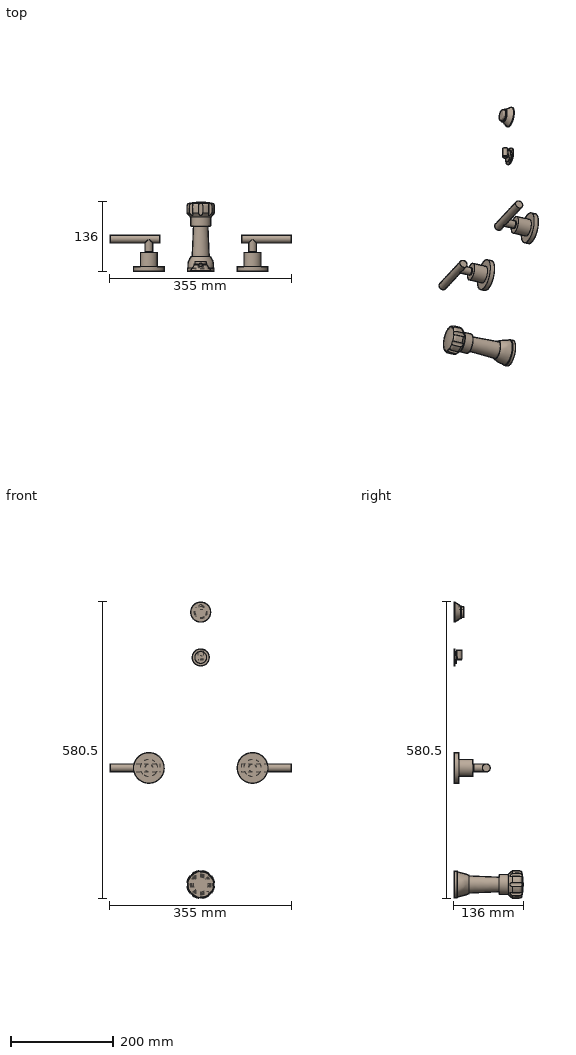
import cadquery as cq
import math


ALONG_Y = cq.Vector(0, 1, 0)

OVERALL_HEIGHT = 580.5
HANDLE_X = 101.5
HOLDER_Z = 305.5
HOOK_Z = 216.5

HANDLE_FLANGE_RADIUS = 30.0
HANDLE_FLANGE_THICKNESS = 9.0
HANDLE_COLLAR_RADIUS = 17.0
HANDLE_COLLAR_TOP = 37.0
HANDLE_GROOVE_WIDTH = 2.0
HANDLE_GROOVE_DEPTH = 0.5
LEVER_DIAMETER = 15.5
LEVER_RADIUS = LEVER_DIAMETER / 2
LEVER_HEIGHT = 63.0
LEVER_INNER_REACH = 21.5
LEVER_OUTER_REACH = 76.0

HOLDER_RADIUS = 20.0
HOLDER_RIM = 2.0
HOLDER_CONE_TOP = 12.0
HOLDER_CONE_TOP_RADIUS = 13.0
HOLDER_STEP_TOP = 14.5
HOLDER_COLLAR_RADIUS = 11.0
HOLDER_COLLAR_TOP = 19.0
HOLDER_COLLAR_FILLET = 1.0
SET_SCREW_RADIUS = 3.5
SET_SCREW_Y = 13.0
SET_SCREW_DEPTH = 6.0

HOOK_RADIUS = 17.0
HOOK_RIM = 2.0
HOOK_BOSS_RADIUS = 11.5
HOOK_BOSS_TOP = 4.5
PEG_RADIUS = 5.0
PEG_Y = 10.5
PEG_BOTTOM = -4.5
PEG_TOP = 14.5
PEG_CHAMFER = 1.0
PEG_NECK_RADIUS = 3.5

FOOT_RADIUS = 26.0
FOOT_RIM = 7.0
FOOT_RIM_ROUND = 1.0
FOOT_SHOULDER_RADIUS = FOOT_RADIUS - FOOT_RIM_ROUND
FOOT_MIDDLE_Y = 18.5
FOOT_MIDDLE_HALF_WIDTH = 24.5
FOOT_MIDDLE_HALF_HEIGHT = 22.0
FOOT_TOP = 29.0
FOOT_TOP_RADIUS = 18.5
STEM_RING_TOP = 33.0
STEM_LOW_RADIUS = 17.0
STEM_HIGH_RADIUS = 14.5
COLLAR_BOTTOM = 88.0
COLLAR_TOP = 106.0
COLLAR_RADIUS = 20.0
COLLAR_ROUND = 2.0
HEAD_NECK_RADIUS = 20.5
HEAD_RADIUS = 27.0
HEAD_SHOULDER_Y = 114.5
HEAD_ROUND_Y = 128.0
HEAD_FACE_Y = 133.0
HEAD_FACE_RADIUS = 24.5
HEAD_DOME_TOP = 136.0
FLUTE_COUNT = 8
FLUTE_RADIUS = 4.0

HEAD_LOWEST = HEAD_RADIUS - FLUTE_RADIUS**2 / (2 * HEAD_RADIUS)
BODY_SPRAY_Z = HOLDER_Z + HOLDER_RADIUS - OVERALL_HEIGHT + HEAD_LOWEST


def disc(radius, y_start, y_end):
    """Cylinder along +Y, centred on the Y axis."""
    start = cq.Vector(0, y_start, 0)
    return cq.Workplane(cq.Solid.makeCylinder(radius, y_end - y_start, start, ALONG_Y))


def post(radius, y, z_start, z_end):
    """Cylinder along +Z, centred at X = 0."""
    return cq.Workplane(cq.Solid.makeCylinder(radius, z_end - z_start, cq.Vector(0, y, z_start)))


def cone(radius_start, radius_end, y_start, y_end):
    """Truncated cone along +Y, centred on the Y axis."""
    start = cq.Vector(0, y_start, 0)
    return cq.Workplane(cq.Solid.makeCone(radius_start, radius_end, y_end - y_start, start, ALONG_Y))


def make_handle(side):
    """Flange, collar and grooved neck with a lever that points to +X (side = 1) or -X (side = -1)."""
    handle = disc(HANDLE_FLANGE_RADIUS, 0, HANDLE_FLANGE_THICKNESS)
    handle = handle.union(disc(HANDLE_COLLAR_RADIUS, 0, HANDLE_COLLAR_TOP))
    groove_top = HANDLE_COLLAR_TOP + HANDLE_GROOVE_WIDTH
    handle = handle.union(disc(LEVER_RADIUS - HANDLE_GROOVE_DEPTH, 0, groove_top))
    handle = handle.union(disc(LEVER_RADIUS, groove_top, LEVER_HEIGHT))
    lever = cq.Solid.makeCylinder(
        LEVER_RADIUS,
        LEVER_INNER_REACH + LEVER_OUTER_REACH,
        cq.Vector(-side * LEVER_INNER_REACH, LEVER_HEIGHT, 0),
        cq.Vector(side, 0, 0),
    )
    return handle.union(cq.Workplane(lever)).translate((side * HANDLE_X, 0, 0))


def make_holder():
    """Wall rosette with a blind set-screw hole in the top of its collar."""
    collar = disc(HOLDER_COLLAR_RADIUS, 0, HOLDER_COLLAR_TOP).faces(">Y").edges().fillet(HOLDER_COLLAR_FILLET)
    holder = disc(HOLDER_RADIUS, 0, HOLDER_RIM)
    holder = holder.union(cone(HOLDER_RADIUS, HOLDER_CONE_TOP_RADIUS, HOLDER_RIM, HOLDER_CONE_TOP))
    holder = holder.union(disc(HOLDER_CONE_TOP_RADIUS, HOLDER_CONE_TOP, HOLDER_STEP_TOP))
    holder = holder.union(collar)
    set_screw_hole = post(
        SET_SCREW_RADIUS, SET_SCREW_Y, HOLDER_COLLAR_RADIUS - SET_SCREW_DEPTH, HOLDER_RADIUS
    )
    return holder.cut(set_screw_hole).translate((0, 0, HOLDER_Z))


def make_hook():
    """Wall disc and boss, with an upright peg on a short neck."""
    peg = post(PEG_RADIUS, PEG_Y, PEG_BOTTOM, PEG_TOP).faces("<Z").edges().chamfer(PEG_CHAMFER)
    hook = disc(HOOK_RADIUS, 0, HOOK_RIM)
    hook = hook.union(disc(HOOK_BOSS_RADIUS, 0, HOOK_BOSS_TOP))
    hook = hook.union(disc(PEG_NECK_RADIUS, 0, PEG_Y))
    return hook.union(peg).translate((0, 0, HOOK_Z))


def make_foot():
    """Round rim, then a flare that is wider across X than across Z halfway up."""
    flare = (
        cq.Workplane("XZ", origin=(0, FOOT_RIM, 0))
        .ellipse(FOOT_SHOULDER_RADIUS, FOOT_SHOULDER_RADIUS)
        .workplane(offset=FOOT_RIM - FOOT_MIDDLE_Y)
        .ellipse(FOOT_MIDDLE_HALF_WIDTH, FOOT_MIDDLE_HALF_HEIGHT)
        .workplane(offset=FOOT_MIDDLE_Y - FOOT_TOP)
        .ellipse(FOOT_TOP_RADIUS, FOOT_TOP_RADIUS)
        .loft()
    )
    rim = disc(FOOT_RADIUS, 0, FOOT_RIM).faces(">Y").edges().fillet(FOOT_RIM_ROUND)
    return rim.union(flare)


def make_head():
    """Revolved head with a sloped shoulder, rounded edge and domed face, fluted around its side."""
    dome_rise = HEAD_DOME_TOP - HEAD_FACE_Y
    dome_sphere_radius = (HEAD_FACE_RADIUS**2 + dome_rise**2) / (2 * dome_rise)
    dome_middle_radius = HEAD_FACE_RADIUS / 2
    dome_middle_drop = dome_sphere_radius - math.sqrt(dome_sphere_radius**2 - dome_middle_radius**2)
    dome_middle = (dome_middle_radius, HEAD_DOME_TOP - dome_middle_drop)
    head = (
        cq.Workplane("XY")
        .moveTo(0, COLLAR_TOP)
        .lineTo(HEAD_NECK_RADIUS, COLLAR_TOP)
        .lineTo(HEAD_RADIUS, HEAD_SHOULDER_Y)
        .lineTo(HEAD_RADIUS, HEAD_ROUND_Y)
        .tangentArcPoint((HEAD_FACE_RADIUS, HEAD_FACE_Y), relative=False)
        .threePointArc(dome_middle, (0, HEAD_DOME_TOP))
        .close()
        .revolve(360, (0, 0, 0), (0, 1, 0))
    )
    flute = disc(FLUTE_RADIUS, COLLAR_TOP, HEAD_DOME_TOP).translate((HEAD_RADIUS, 0, 0))
    for i in range(FLUTE_COUNT):
        head = head.cut(flute.rotate((0, 0, 0), (0, 1, 0), i * 360 / FLUTE_COUNT))
    return head


def make_body_spray():
    """Foot, stem, collar and head joined along one axis."""
    stem = disc(STEM_LOW_RADIUS, FOOT_RIM, STEM_RING_TOP)
    stem = stem.union(cone(STEM_LOW_RADIUS, STEM_HIGH_RADIUS, STEM_RING_TOP, COLLAR_BOTTOM))
    collar = disc(COLLAR_RADIUS, COLLAR_BOTTOM, COLLAR_TOP).edges().fillet(COLLAR_ROUND)
    body_spray = make_foot().union(stem).union(collar).union(make_head())
    return body_spray.translate((0, 0, BODY_SPRAY_Z))


handles = [make_handle(side) for side in (-1, 1)]
holder = make_holder()
hook = make_hook()
body_spray = make_body_spray()

result = cq.Compound.makeCompound(
    [body.solids().val() for body in [*handles, holder, hook, body_spray]]
)